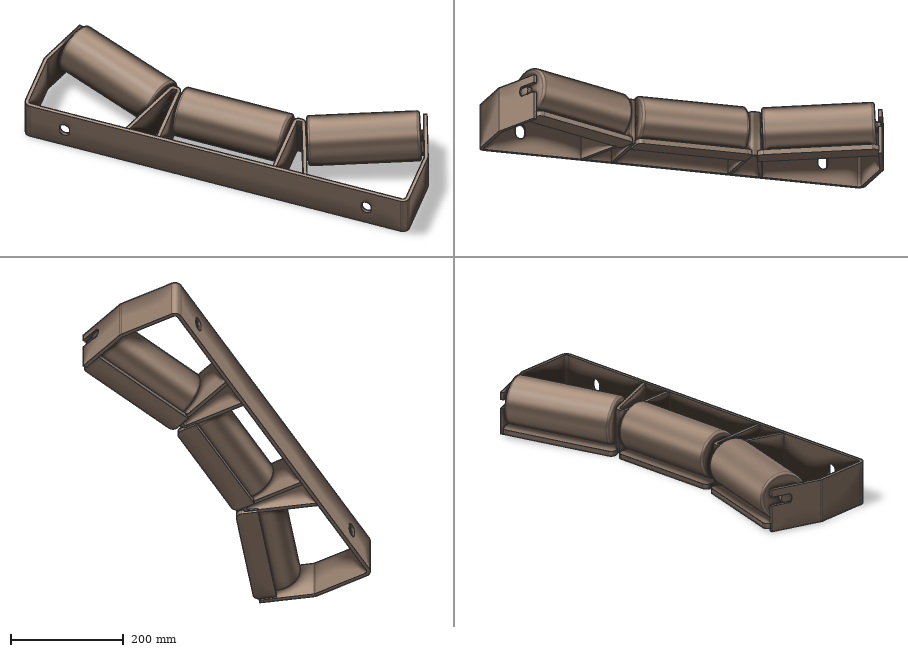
import cadquery as cq
import math

frame_length = 720.0
frame_height = 81.0
sheet = 6.5
corner_radius = 12.0
arm_bend_y = 116.0
arm_length = 100.0
trough_angle = 20.0
mount_slot_x = 283.0
mount_slot_width = 19.0
mount_slot_height = 27.0

bracket_inner_x = 106.0
bracket_foot_x = 170.0
bracket_top_y = 127.5
bracket_bend_radius = 9.0

roller_radius = 45.0
roller_length = 200.0
roller_edge_radius = 4.0
shaft_diameter = 20.0
shaft_flats = 14.5
shaft_slot_width = 17.0
slot_reach = 36.0
centre_axis_y = 101.5
centre_axis_z = 49.0
wing_x = 230.5
wing_y = 142.5
wing_z = 53.0
wing_tilt = 2.5
shaft_length = 220.0
collar_length = shaft_length - 2 * sheet

guard_length = 216.0
guard_width = 40.0
guard_thickness = 9.0
guard_bottom = 53.0
guard_corner_radius = 11.0
wing_guard_shift = 3.0

lean = math.radians(trough_angle)
half_height = frame_height / 2


def place_on_wing(body, side):
    """Move a body from the origin to the left (-1) or right (+1) wing roller position."""
    tilted = body.rotate((0, 0, 0), (0, 1, 0), -side * wing_tilt)
    leaned = tilted.rotate((0, 0, 0), (0, 0, 1), side * trough_angle)
    return leaned.translate((side * wing_x, wing_y, wing_z))


def make_guard(shift):
    guard = cq.Workplane("XY").box(
        guard_length, guard_width, guard_thickness, centered=(True, False, False)
    )
    return guard.edges("|Z and >Y").fillet(guard_corner_radius).translate((shift, 0, -guard_bottom))


def make_shaft():
    """Round shaft with two flats at each end, where it sits in the sheet."""

    def rod(length):
        return cq.Workplane("YZ").circle(shaft_diameter / 2).extrude(length / 2, both=True)

    flats = cq.Workplane("XY").box(shaft_length, shaft_diameter, shaft_flats)
    return rod(shaft_length).intersect(flats).union(rod(collar_length))


def make_roller(guard_shift=0.0):
    """Rounded drum, shaft and guard along X; the guard may be shifted along the shaft."""
    drum = cq.Workplane("YZ").circle(roller_radius).extrude(roller_length / 2, both=True)
    drum = drum.edges().fillet(roller_edge_radius)
    return drum.union(make_shaft()).union(make_guard(guard_shift))


def bend_edges(corners):
    """Selector for the upright edges at the given corners and at their mirror images."""
    reach = sheet / 4
    selector = None
    for x, y in corners + [(-x, y) for x, y in corners]:
        box = cq.selectors.BoxSelector(
            (x - reach, y - reach, 0), (x + reach, y + reach, frame_height)
        )
        selector = box if selector is None else selector + box
    return selector


def make_frame():
    half_length = frame_length / 2
    tip_x = half_length - arm_length * math.sin(lean)
    tip_y = arm_bend_y + arm_length * math.cos(lean)
    right_side = [
        (half_length, 0),
        (half_length, arm_bend_y),
        (tip_x, tip_y),
        (tip_x - sheet * math.cos(lean), tip_y - sheet * math.sin(lean)),
        (half_length - sheet, arm_bend_y - sheet * math.tan(lean / 2)),
        (half_length - sheet, sheet),
    ]
    left_side = [(-x, y) for x, y in reversed(right_side)]
    strip = cq.Workplane("XY").polyline(right_side + left_side).close().extrude(frame_height)
    strip = strip.edges(bend_edges(right_side[:2])).fillet(corner_radius)
    strip = strip.edges(bend_edges(right_side[4:])).fillet(corner_radius - sheet)

    mount_slots = (
        cq.Workplane("XZ")
        .pushPoints([(-mount_slot_x, half_height), (mount_slot_x, half_height)])
        .slot2D(mount_slot_height, mount_slot_width, 90)
        .extrude(-sheet)
    )
    return strip.cut(mount_slots)


def make_arm_slot():
    """Open-ended slot that takes the outer shaft end of the right-hand wing roller."""
    start = roller_length / 2

    def band(width, centred):
        slab = cq.Workplane("XY").box(
            slot_reach, width, shaft_slot_width, centered=(False, centred, True)
        )
        return slab.translate((start, 0, 0))

    rod = cq.Workplane("YZ", origin=(start, 0, 0)).circle(shaft_diameter / 2).extrude(slot_reach)
    return rod.intersect(band(shaft_diameter, True)).union(band(roller_radius, False))


def make_bracket():
    """Right-hand bracket, with recesses for the shafts and guards it meets."""
    leg_run = sheet / math.cos(lean)

    def foot_offset(y):
        return bracket_foot_x - (y - sheet) * math.tan(lean)

    def profile(inner_x, top_y, inset, radius):
        points = [
            (inner_x, sheet),
            (inner_x, top_y),
            (foot_offset(top_y) - inset, top_y),
            (foot_offset(sheet) - inset, sheet),
        ]
        block = cq.Workplane("XY").polyline(points).close().extrude(frame_height)
        return block.edges("|Z and >Y").fillet(radius)

    outside = profile(bracket_inner_x, bracket_top_y, 0, bracket_bend_radius)
    inside = profile(
        bracket_inner_x + sheet, bracket_top_y - sheet, leg_run, bracket_bend_radius - sheet
    )
    return outside.cut(inside)


centre_roller = make_roller().translate((0, centre_axis_y, centre_axis_z))

wing_rollers = [place_on_wing(make_roller(-side * wing_guard_shift), side) for side in (-1, 1)]

frame = make_frame()
right_arm_slot = place_on_wing(make_arm_slot(), 1)
frame = frame.cut(right_arm_slot).cut(right_arm_slot.mirror("YZ"))
for wing_roller in wing_rollers:
    frame = frame.cut(wing_roller)

right_bracket = make_bracket().cut(centre_roller).cut(wing_rollers[1])
brackets = [right_bracket, right_bracket.mirror("YZ")]

result = cq.Compound.makeCompound(
    [frame.val(), centre_roller.val()]
    + [bracket.val() for bracket in brackets]
    + [wing_roller.val() for wing_roller in wing_rollers]
)